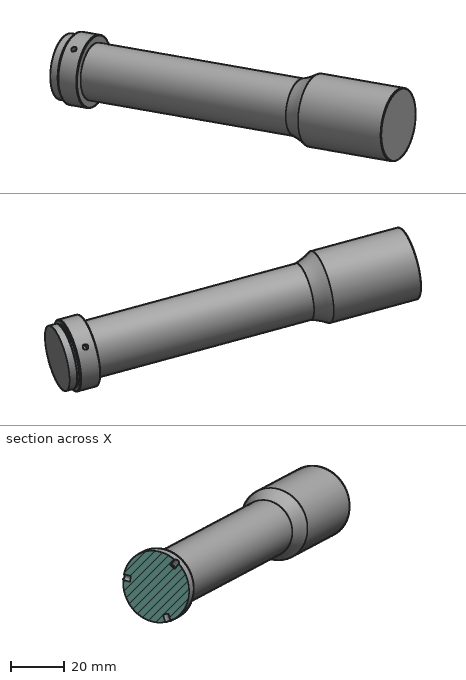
import cadquery as cq
import math

total_length = 141.6
body_radius = 14.0
edge_chamfer = 0.3

head_radius = 12.7
head_length = 3.1
neck_radius = 12.3
collar_start = 4.0
collar_end = 12.0

tube_radius = 11.0
taper_start = 99.4
taper_end = 106.2
taper_sag = 0.3

hole_count = 3
hole_diameter = 2.1
first_hole_angle = 8.7
hole_x = (collar_start + collar_end) / 2


def make_body():
    chamfered_radius = body_radius - edge_chamfer
    taper_middle = (
        (taper_start + taper_end) / 2,
        (tube_radius + body_radius) / 2 - taper_sag,
    )
    profile = (
        cq.Workplane("XY")
        .lineTo(0, head_radius)
        .lineTo(head_length, head_radius)
        .lineTo(head_length, neck_radius)
        .lineTo(collar_start, neck_radius)
        .lineTo(collar_start, chamfered_radius)
        .lineTo(collar_start + edge_chamfer, body_radius)
        .lineTo(collar_end - edge_chamfer, body_radius)
        .lineTo(collar_end, chamfered_radius)
        .lineTo(collar_end, tube_radius)
        .lineTo(taper_start, tube_radius)
        .threePointArc(taper_middle, (taper_end, body_radius))
        .lineTo(total_length - edge_chamfer, body_radius)
        .lineTo(total_length, chamfered_radius)
        .lineTo(total_length, 0)
        .close()
    )
    return profile.revolve(360, (0, 0, 0), (1, 0, 0))


def make_collar_hole(angle):
    """Radial drill from outside the collar down to the tube surface."""
    direction = cq.Vector(0, math.cos(angle), math.sin(angle))
    bottom = cq.Vector(hole_x, 0, 0) + direction * tube_radius
    depth = body_radius + hole_diameter - tube_radius
    return cq.Solid.makeCylinder(hole_diameter / 2, depth, bottom, direction)


result = make_body()
for index in range(hole_count):
    hole_angle = math.radians(first_hole_angle + index * 360 / hole_count)
    result = result.cut(cq.Workplane(obj=make_collar_hole(hole_angle)))